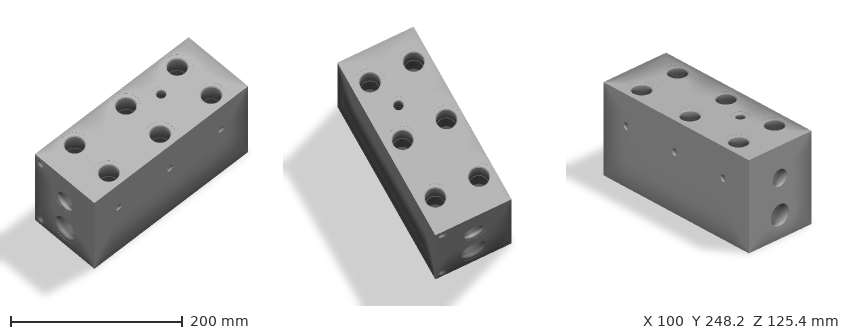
import cadquery as cq
import math

WIDTH = 100.03
LENGTH = 248.18
HEIGHT = 125.43

PORT_LARGE = {"major": 33.25, "minor": 30.29, "passage": 28.8, "spotface": 44.7, "thread_depth": 26.0}
PORT_MEDIUM = {"major": 26.44, "minor": 24.12, "passage": 22.8, "spotface": 35.4, "thread_depth": 22.0}
PORT_SMALL = {"major": 13.16, "minor": 11.45, "passage": 10.8, "spotface": 22.5, "thread_depth": 16.0}
SPOTFACE_DEPTH = 0.2

POINT_ANGLE = 118
POINT_SLOPE = math.tan(math.radians(90 - POINT_ANGLE / 2))

GALLERY_X = 50.6
UPPER_GALLERY_Z = 82.2
LOWER_GALLERY_Z = 32.1

COLUMN_X = [22.1, 79.4]
ROW_COUNT = 3
ROW_PITCH = 82.7
FIRST_ROW_Y = 43.0
ROW_Y = [FIRST_ROW_Y + row * ROW_PITCH for row in range(ROW_COUNT)]
WORK_PORT_DEPTH = 45.0

GAUGE_X = 38.1
GAUGE_Y = 167.2
GAUGE_OVERRUN = 4.0
GAUGE_DEPTH = HEIGHT - UPPER_GALLERY_Z + GAUGE_OVERRUN

CROSS_DIAMETER = 9.5
CROSS_OFFSET_Y = -3.7
CROSS_ABOVE_TIP = 9.0
CROSS_END_X = [GALLERY_X, WIDTH]
POINT_HEIGHT = PORT_MEDIUM["passage"] / 2 * POINT_SLOPE
CROSS_Z = HEIGHT - WORK_PORT_DEPTH - POINT_HEIGHT + CROSS_ABOVE_TIP

MOUNT_X = 9.3
MOUNT_EDGE_Z = 10.1
MOUNT_Z = [MOUNT_EDGE_Z, HEIGHT - MOUNT_EDGE_Z]
MOUNT_MAJOR = 10.5
MOUNT_MINOR = 8.8
MOUNT_DEPTH = 25.0


def drilled_hole(mouth, diameter, depth):
    """Blind drilled hole; depth is measured to the start of the conical point."""
    radius = diameter / 2
    profile = (
        cq.Workplane("XZ")
        .lineTo(radius, 0)
        .lineTo(radius, -depth)
        .lineTo(0, -depth - radius * POINT_SLOPE)
        .close()
    )
    return mouth_placed(profile.revolve(360, (0, 0, 0), (0, 1, 0)), mouth)


def chamfered_bore(mouth, major, minor, depth):
    """Flat-bottomed thread bore with a 45 degree lead-in from the major diameter."""
    profile = (
        cq.Workplane("XZ")
        .lineTo(major / 2, 0)
        .lineTo(minor / 2, -(major - minor) / 2)
        .lineTo(minor / 2, -depth)
        .lineTo(0, -depth)
        .close()
    )
    return mouth_placed(profile.revolve(360, (0, 0, 0), (0, 1, 0)), mouth)


def mouth_placed(cutter, mouth):
    """Move a cutter that points down -Z so that it enters the face of the mouth plane."""
    return cutter.val().moved(cq.Location(mouth))


def top_mouth(x, y):
    return cq.Plane((x, y, HEIGHT), xDir=(1, 0, 0), normal=(0, 0, 1))


def front_mouth(x, z):
    return cq.Plane((x, 0, z), xDir=(1, 0, 0), normal=(0, -1, 0))


def cut_port(block, mouth, port, depth):
    """Spotfaced pipe port whose passage is drilled to the given depth."""
    spotface = cq.Workplane(mouth).circle(port["spotface"] / 2).extrude(-SPOTFACE_DEPTH)
    floor = cq.Plane(mouth.origin - mouth.zDir * SPOTFACE_DEPTH, mouth.xDir, mouth.zDir)
    thread = chamfered_bore(floor, port["major"], port["minor"], port["thread_depth"])
    passage = drilled_hole(mouth, port["passage"], depth)
    return block.cut(spotface).cut(thread).cut(passage)


def cross_drilling(start_x, end_x, y):
    return (
        cq.Workplane("YZ", origin=(start_x, y + CROSS_OFFSET_Y, CROSS_Z))
        .circle(CROSS_DIAMETER / 2)
        .extrude(end_x - start_x)
    )


block = cq.Workplane("XY").box(WIDTH, LENGTH, HEIGHT, centered=False)

for z, port in [(UPPER_GALLERY_Z, PORT_MEDIUM), (LOWER_GALLERY_Z, PORT_LARGE)]:
    block = cut_port(block, front_mouth(GALLERY_X, z), port, LENGTH)

for y in ROW_Y:
    for x, cross_end in zip(COLUMN_X, CROSS_END_X):
        block = cut_port(block, top_mouth(x, y), PORT_MEDIUM, WORK_PORT_DEPTH)
        block = block.cut(cross_drilling(x, cross_end, y))

block = cut_port(block, top_mouth(GAUGE_X, GAUGE_Y), PORT_SMALL, GAUGE_DEPTH)

for z in MOUNT_Z:
    mouth = front_mouth(MOUNT_X, z)
    block = block.cut(chamfered_bore(mouth, MOUNT_MAJOR, MOUNT_MINOR, MOUNT_DEPTH))
    block = block.cut(drilled_hole(mouth, MOUNT_MINOR, MOUNT_DEPTH))

result = cq.Compound.makeCompound([block.val()])